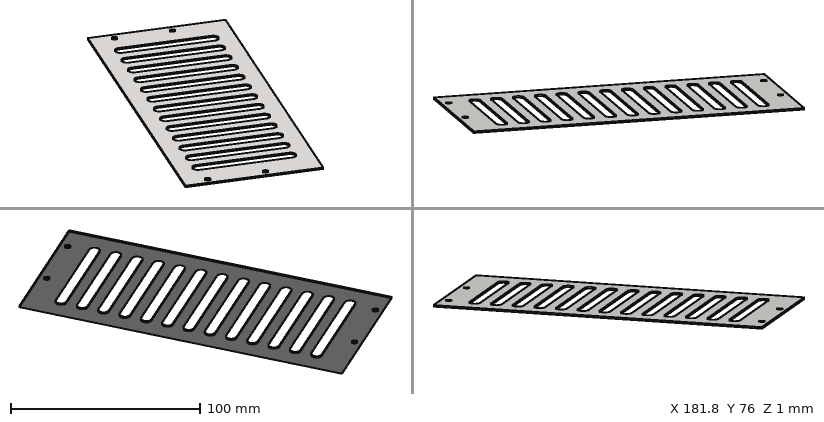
import cadquery as cq

plate_length = 181.8
plate_width = 76.0
plate_thickness = 1.0

slot_count = 13
slot_pitch = 12.0
slot_length = 57.0
slot_width = 6.0

hole_diameter = 3.0
hole_edge_distance = 4.2
hole_spacing_x = plate_length - 2 * hole_edge_distance
hole_spacing_y = 32.0
hole_center_y = -8.5


def make_plate():
    return cq.Workplane("XY").box(plate_length, plate_width, plate_thickness)


def cut_slots(plate):
    return (
        plate.faces(">Z").workplane(origin=(0, 0, 0))
        .rarray(slot_pitch, 1.8, slot_count, 1)
        .slot2D(slot_length, slot_width, angle=90)
        .cutThruAll()
    )


def cut_mounting_holes(plate):
    return (
        plate.faces(">Z").workplane(origin=(0, hole_center_y, 0))
        .rarray(hole_spacing_x, hole_spacing_y, 2, 2)
        .hole(hole_diameter)
    )


result = cut_mounting_holes(cut_slots(make_plate()))